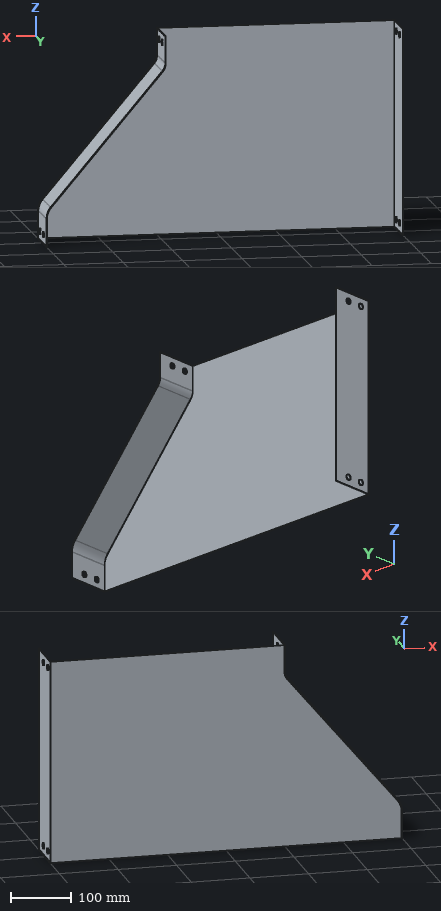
import cadquery as cq
import math

length = 600.0
depth = 80.0
height = 348.0
sheet = 1.0

top_length = 400.0
upper_corner_height = 295.0
lower_corner_height = 58.0
upper_bend_radius = 20.5
lower_bend_radius = 30.0

hole_diameter = 9.5
hole_edge_distance = 15.5
hole_setbacks = (20.0, 50.0)


def bent_prism(inset, upper_radius, lower_radius):
    """Full-depth prism whose right side is moved inward by the inset."""
    slope_angle = math.atan2(upper_corner_height - lower_corner_height, length - top_length)
    corner_shift = inset * math.tan((math.pi / 2 - slope_angle) / 2)
    upper_corner = (top_length - inset, upper_corner_height - corner_shift)
    lower_corner = (length - inset, lower_corner_height - corner_shift)
    prism = (
        cq.Workplane("XZ")
        .polyline([
            (0, 0),
            (length - inset, 0),
            lower_corner,
            upper_corner,
            (top_length - inset, height),
            (0, height),
        ])
        .close()
        .extrude(-depth)
    )
    for (x, z), radius in ((upper_corner, upper_radius), (lower_corner, lower_radius)):
        bend_edge = cq.selectors.NearestToPointSelector((x, depth / 2, z))
        prism = prism.edges(bend_edge).fillet(radius)
    return prism


def sheet_body():
    """Front plate with a left flange and a bent right flange, open at top, bottom and back."""
    outside = bent_prism(0, upper_bend_radius, lower_bend_radius)
    inside = bent_prism(sheet, upper_bend_radius + sheet, lower_bend_radius - sheet)
    cavity_bounds = (
        cq.Workplane("XY")
        .box(length, depth, height, centered=False)
        .translate((sheet, sheet, 0))
    )
    return outside.cut(inside.intersect(cavity_bounds))


def mounting_holes():
    """Drills along X through every upright flange they meet."""
    hole_heights = (hole_edge_distance, height - hole_edge_distance)
    centers = [(y, z) for y in hole_setbacks for z in hole_heights]
    return (
        cq.Workplane("YZ")
        .pushPoints(centers)
        .circle(hole_diameter / 2)
        .extrude(length)
    )


result = sheet_body().cut(mounting_holes())